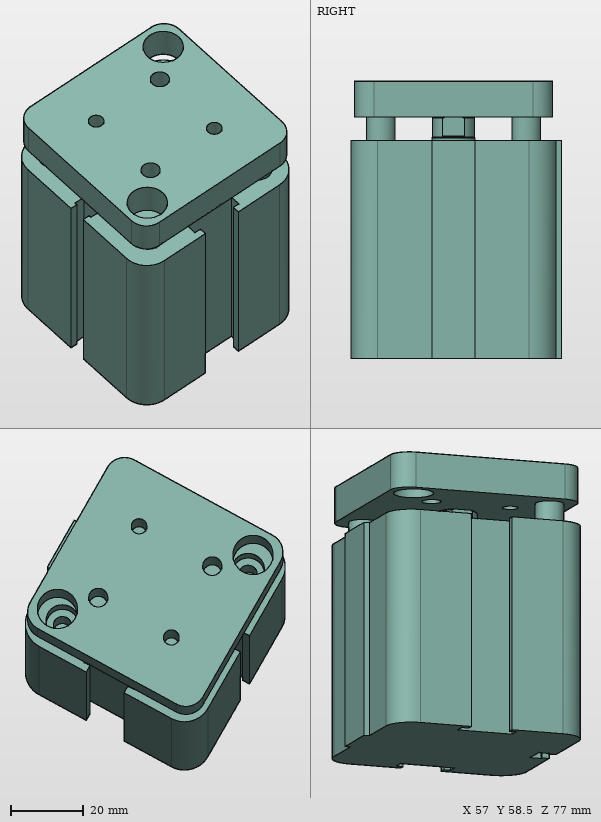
import cadquery as cq

TOTAL_HEIGHT = 77.0
PLATE_THICKNESS = 10.0
PLATE_GAP = 6.5
PLATE_BOTTOM = TOTAL_HEIGHT - PLATE_THICKNESS
HOUSING_HEIGHT = PLATE_BOTTOM - PLATE_GAP

HOUSING_WIDTH = 57.0
HOUSING_CORNER_RADIUS = 7.5
HALF_HOUSING = HOUSING_WIDTH / 2

RAIL_WIDTH = 15.6
RAIL_HEIGHT = 1.55
RAIL_TAPER = 0.15

SLOT_DEPTH = 5.4
SLOT_LIP = 2.15
SIDE_SLOT_OPENING = 12.0
SIDE_SLOT_INNER_WIDTH = 16.0
FRONT_SLOT_OPENING = 5.2
FRONT_SLOT_INNER_WIDTH = 6.8

MOUNT_OFFSET = 18.95
MOUNT_HOLE_DIAMETER = 5.0
MOUNT_BORE_DIAMETER = 9.1
MOUNT_BORE_DEPTH = 5.8
MOUNT_HOLE_DEPTH = 14.55

PLATE_WIDTH = 55.0
PLATE_CORNER_RADIUS = 5.5
ACCESS_OFFSET = 19.95
ACCESS_DIAMETER = 11.2
TOOL_HOLE_OFFSET = 11.6
LARGE_TOOL_HOLE_DIAMETER = 5.3
SMALL_TOOL_HOLE_DIAMETER = 4.3

GUIDE_ROD_DIAMETER = 8.0
GUIDE_ROD_OFFSET = 20.2
PISTON_DIAMETER = 11.7
PISTON_FLATS = 10.0
PISTON_CHAMFER = 0.3
FLATS_START = 1.2
COLLAR_DIAMETER = 12.0
COLLAR_HEIGHT = 0.9
COLLAR_CHAMFER_HEIGHT = 0.3


def rounded_square(width, height, corner_radius):
    """Square block on Z = 0 with rounded vertical edges."""
    block = cq.Workplane("XY").rect(width, width).extrude(height)
    return block.edges("|Z").fillet(corner_radius)


def diagonal_points(offset, rising):
    """Two opposite corners: (-X, -Y) and (+X, +Y) if rising, otherwise (-X, +Y) and (+X, -Y)."""
    slope = 1 if rising else -1
    return [(-offset, -slope * offset), (offset, slope * offset)]


def t_slot(opening, inner_width, angle):
    """Cutter for a T-slot in the -Y side, turned about the Z axis by the angle."""
    mouth = cq.Workplane("XY").center(0, -HALF_HOUSING + SLOT_DEPTH / 2)
    mouth = mouth.rect(opening, SLOT_DEPTH).extrude(HOUSING_HEIGHT)
    undercut = cq.Workplane("XY").center(0, -HALF_HOUSING + (SLOT_LIP + SLOT_DEPTH) / 2)
    undercut = undercut.rect(inner_width, SLOT_DEPTH - SLOT_LIP).extrude(HOUSING_HEIGHT)
    return mouth.union(undercut).rotate((0, 0, 0), (0, 0, 1), angle)


def mount_recesses(diameter, depth):
    """Cutter for a pair of round recesses going down from the top of the housing."""
    recesses = cq.Workplane("XY", origin=(0, 0, HOUSING_HEIGHT))
    recesses = recesses.pushPoints(diagonal_points(MOUNT_OFFSET, rising=False))
    return recesses.circle(diameter / 2).extrude(-depth)


def make_rail():
    """Rail on the +Y side with slightly leaning flanks, rooted in the block as deep as it stands out."""
    half_root = RAIL_WIDTH / 2
    half_crest = half_root - RAIL_TAPER
    profile = [
        (-half_root, HALF_HOUSING - RAIL_HEIGHT),
        (-half_root, HALF_HOUSING),
        (-half_crest, HALF_HOUSING + RAIL_HEIGHT),
        (half_crest, HALF_HOUSING + RAIL_HEIGHT),
        (half_root, HALF_HOUSING),
        (half_root, HALF_HOUSING - RAIL_HEIGHT),
    ]
    return cq.Workplane("XY").polyline(profile).close().extrude(HOUSING_HEIGHT)


def make_housing():
    housing = rounded_square(HOUSING_WIDTH, HOUSING_HEIGHT, HOUSING_CORNER_RADIUS)
    housing = housing.union(make_rail())
    housing = housing.cut(t_slot(FRONT_SLOT_OPENING, FRONT_SLOT_INNER_WIDTH, 0))
    for angle in (-90, 90):
        housing = housing.cut(t_slot(SIDE_SLOT_OPENING, SIDE_SLOT_INNER_WIDTH, angle))
    housing = housing.cut(mount_recesses(MOUNT_HOLE_DIAMETER, MOUNT_HOLE_DEPTH))
    return housing.cut(mount_recesses(MOUNT_BORE_DIAMETER, MOUNT_BORE_DEPTH))


def make_plate():
    """Plate with two screw access holes and four smaller holes, all through."""
    plate = rounded_square(PLATE_WIDTH, PLATE_THICKNESS, PLATE_CORNER_RADIUS)
    plate = plate.translate((0, 0, PLATE_BOTTOM))
    hole_pairs = [
        (ACCESS_OFFSET, ACCESS_DIAMETER, False),
        (TOOL_HOLE_OFFSET, LARGE_TOOL_HOLE_DIAMETER, False),
        (TOOL_HOLE_OFFSET, SMALL_TOOL_HOLE_DIAMETER, True),
    ]
    for offset, diameter, rising in hole_pairs:
        top = plate.faces(">Z").workplane(origin=(0, 0, TOTAL_HEIGHT))
        plate = top.pushPoints(diagonal_points(offset, rising)).hole(diameter)
    return plate


def make_guide_rods():
    rods = cq.Workplane("XY", origin=(0, 0, HOUSING_HEIGHT))
    rods = rods.pushPoints(diagonal_points(GUIDE_ROD_OFFSET, rising=True))
    return rods.circle(GUIDE_ROD_DIAMETER / 2).extrude(PLATE_GAP)


def make_piston_rod():
    """Central rod with two flats facing -X and +X above a low chamfered collar."""
    base = cq.Workplane("XY", origin=(0, 0, HOUSING_HEIGHT))
    rod = base.circle(PISTON_DIAMETER / 2).extrude(PLATE_GAP)
    rod = rod.faces(">Z").chamfer(PISTON_CHAMFER)
    flats_height = PLATE_GAP - FLATS_START
    flats = base.workplane(offset=FLATS_START).rect(PISTON_FLATS, PISTON_DIAMETER).extrude(flats_height)
    foot = base.circle(PISTON_DIAMETER / 2).extrude(FLATS_START)
    collar = base.circle(COLLAR_DIAMETER / 2).extrude(COLLAR_HEIGHT)
    collar = collar.faces(">Z").chamfer(COLLAR_CHAMFER_HEIGHT, (COLLAR_DIAMETER - PISTON_DIAMETER) / 2)
    return rod.intersect(flats.union(foot)).union(collar)


def make_slide():
    """Moving body: the plate with its guide rods and piston rod, standing on the housing."""
    return make_plate().union(make_guide_rods()).union(make_piston_rod())


housing = make_housing()
slide = make_slide()

result = cq.Compound.makeCompound([housing.val(), slide.val()])